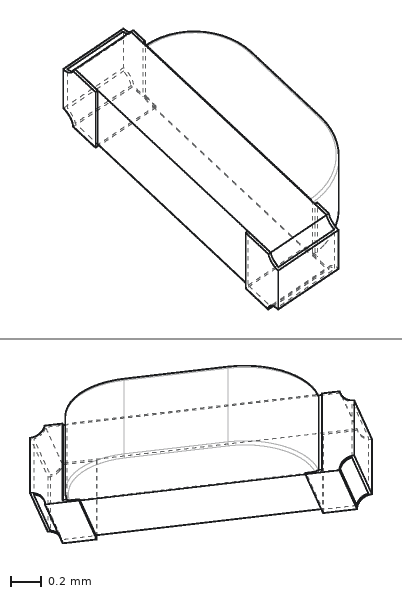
import cadquery as cq

LENGTH = 2.19
DEPTH = 1.0

PLATING = 0.02

HOUSING_LENGTH = LENGTH - 2 * PLATING
HOUSING_DEPTH = 0.482
HOUSING_HEIGHT = 0.583

GROOVE_RADIUS = 0.1

PAD_LENGTH = 0.33
BACK_PAD_LENGTH = 0.22

LENS_WIDTH = 1.7
LENS_DEPTH = DEPTH - PLATING - HOUSING_DEPTH
LENS_HEIGHT = 0.6
LENS_EDGE_FILLET = 0.02

HOUSING_TOP = HOUSING_HEIGHT / 2
HOUSING_BACK = HOUSING_DEPTH / 2
TERMINAL_DEPTH = HOUSING_DEPTH + 2 * PLATING
TERMINAL_BACK = TERMINAL_DEPTH / 2
TERMINAL_HEIGHT = HOUSING_HEIGHT + PLATING


def make_block():
    """Housing block before its corners are grooved, centred on the origin."""
    return cq.Workplane("XY").box(HOUSING_LENGTH, HOUSING_DEPTH, HOUSING_HEIGHT)


def make_corner_grooves():
    """Cylinders along Y that hollow out the four end corners."""
    corner_x = LENGTH / 2
    corner_z = HOUSING_TOP + PLATING
    return (
        cq.Workplane("XZ", origin=(0, TERMINAL_BACK, 0))
        .rect(2 * corner_x, 2 * corner_z, forConstruction=True)
        .vertices()
        .circle(GROOVE_RADIUS)
        .extrude(TERMINAL_DEPTH)
    )


def make_housing():
    return make_block().cut(make_corner_grooves())


def make_lens():
    """Dome behind the housing: two quarter rounds joined by a flat tip, its rims rounded."""
    half_width = LENS_WIDTH / 2
    half_tip = half_width - LENS_DEPTH
    return (
        cq.Workplane("XY", origin=(0, HOUSING_BACK, -LENS_HEIGHT / 2))
        .moveTo(-half_width, 0)
        .radiusArc((-half_tip, LENS_DEPTH), LENS_DEPTH)
        .lineTo(half_tip, LENS_DEPTH)
        .radiusArc((half_width, 0), LENS_DEPTH)
        .close()
        .extrude(LENS_HEIGHT)
        .faces("<Z or >Z")
        .edges(">Y or %CIRCLE")
        .fillet(LENS_EDGE_FILLET)
    )


def make_terminal(side):
    """Metal cap around one housing end, open at the top; side is -1 or +1 along X."""
    cap = (
        cq.Workplane("XY")
        .box(PAD_LENGTH, TERMINAL_DEPTH, TERMINAL_HEIGHT)
        .translate((side * (LENGTH - PAD_LENGTH) / 2, 0, HOUSING_TOP - TERMINAL_HEIGHT / 2))
    )

    back_relief = (
        cq.Workplane("XY")
        .box(LENGTH - 2 * BACK_PAD_LENGTH, PLATING, HOUSING_HEIGHT)
        .translate((0, HOUSING_BACK + PLATING / 2, 0))
    )

    return cap.cut(make_block()).cut(back_relief).cut(make_corner_grooves()).cut(make_lens())


housing = make_housing()
lens = make_lens()
terminals = [make_terminal(side).solids().val() for side in (-1, 1)]

result = cq.Compound.makeCompound(
    [housing.solids().val(), lens.solids().val(), *terminals]
)